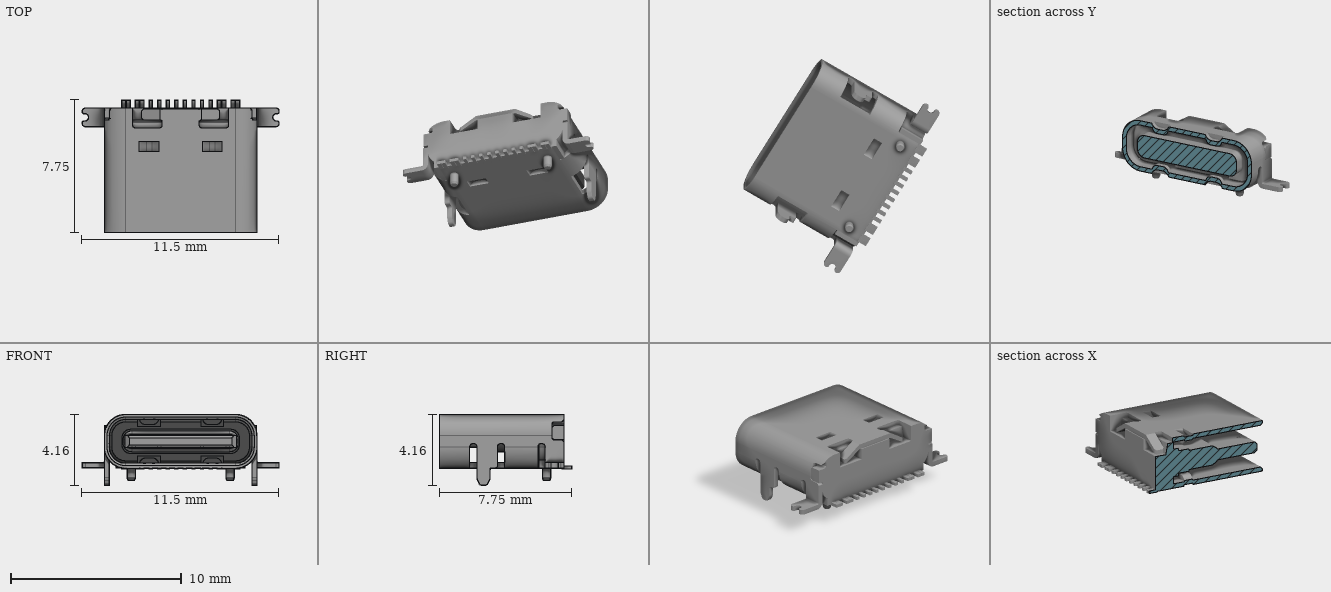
import cadquery as cq


shell_width = 8.94
shell_height = 3.16
shell_length = 7.3
shell_radius = 1.25
sheet = 0.3
mouth_chamfer = 0.14
half_width = shell_width / 2
bore_half_width = half_width - sheet
mid_height = shell_height / 2

housing_front = 5.7
housing_chamfer = 0.14
base_half_width = 3.78
base_front = housing_front + housing_chamfer
base_bottom = 0.03
base_top = 0.48
ear_front = 6.6
ear_bottom = 1.68
ear_top = 2.5
ear_inset = 0.02
ear_half_width = half_width - ear_inset
ear_chamfer = 0.1
ear_clearance_bottom = 0.02
ear_clearance_top = 0.22
ear_flare = 0.13

tongue_half_width = 3.27
tongue_half_thickness = 0.35
tongue_tip = 0.38
tongue_tip_chamfer = 0.15
tongue_corner_x = 0.27
tongue_corner_y = 0.35
ramp_inset = 0.07
ramp_half_height = 0.61
ramp_start = 3.1
ramp_end = 3.4
ramp_rise = 0.2
collar_half_width = 3.44
collar_half_height = 0.71
collar_radius = 0.51
collar_front = 5.0
contact_tip_positions = (1.25, 2.75)
contact_tip_width = 0.2
contact_tip_length = 0.25
contact_tip_depth = 0.05
contact_tip_front = 0.85

spring_center_x = 1.85
spring_window_length = 1.16
spring_front = 4.76
spring_back = 5.32
spring_depth = 0.3
spring_flat_below = 0.4
spring_flat_above = 0.32
spring_foot = 0.02
spring_notch_width = 1.34
spring_notch_height = 0.41
spring_notch_length = 0.35

relief_inner_x = 1.085
relief_outer_x = 2.81
relief_front = 6.13
relief_radius = 0.15
flap_inner_x = 1.21
flap_outer_x = 2.28
flap_front = 6.6
flap_back = 7.23
flap_drop = 0.66
flap_thickness = 0.25
flap_corner = 0.1
flap_pocket_front = 6.47
flap_pocket_floor = 2.2

strip_cut_x = 3.5
slot_rise = 0.2
slot_top = shell_radius + slot_rise
slot_width = 0.42
slot_end_radius = 0.19
leg_front = 2.19
leg_back = 3.4
leg_step_y = 2.97
leg_step_z = 0.03
leg_bottom = -1.0
leg_taper_height = 0.37
leg_tip_front = 2.37
leg_tip_back = 2.77
leg_step_radius = 0.12
leg_tip_radius = 0.2
leg_shoulder_radius = 0.4

wing_half_span = 5.77
wing_front = 6.19
wing_top = 0.33
wing_bend_radius = 0.08
wing_corner = 0.2
wing_notch_radius = 0.21
wing_notch_depth = 0.37
wing_lip_radius = 0.12

post_x = 2.89
post_y = 6.27
post_radius = 0.25
post_bottom = -0.71
post_taper_height = 0.14
post_taper = 0.06

tail_bottom = -0.04
tail_top = 0.15
tail_front = 7.18
tail_back = 7.75
narrow_tail = 0.2
wide_tail = 0.25
narrow_tail_positions = (0.25, 0.75, 1.25, 1.75)
wide_tail_positions = (2.265, 2.535, 3.07, 3.335)

fuse_overlap = 0.05


def block(x0, x1, y0, y1, z0, z1):
    return cq.Workplane("XY").box(x1 - x0, y1 - y0, z1 - z0, centered=False).translate((x0, y0, z0))


def both_sides(solid):
    return solid.union(solid.mirror("YZ"))


def top_and_bottom(solid):
    return solid.union(solid.mirror("XY", (0, 0, mid_height)))


def oblong(half_x, half_z, radius, y0, y1):
    """Rounded rectangular bar along Y, centred on the shell axis."""
    bar = block(-half_x, half_x, y0, y1, mid_height - half_z, mid_height + half_z)
    return bar.edges("|Y").fillet(radius)


def make_shell():
    """Open rounded tube with a bevel around the inside of its mouth."""
    shell = oblong(half_width, mid_height, shell_radius, 0, shell_length)
    bore = oblong(bore_half_width, mid_height - sheet, shell_radius - sheet, 0, shell_length)
    shell = shell.cut(bore)
    mouth_edges = cq.selectors.BoxSelector(
        (-half_width + sheet / 2, -sheet, sheet / 2),
        (half_width - sheet / 2, sheet, shell_height - sheet / 2),
        boundingbox=True,
    )
    return shell.faces("<Y").edges(mouth_edges).chamfer(mouth_chamfer)


def strip_cut(front, back):
    """Opening in the left lower corner of the shell."""
    return block(-half_width - sheet, -strip_cut_x, front, back, -sheet, shell_radius)


def slot(front):
    """Round-topped slot through the left wall."""
    tall = block(-half_width - sheet, -strip_cut_x, front, front + slot_width, -sheet, slot_top)
    return tall.edges("|X and >Z").fillet(slot_end_radius)


def side_openings():
    """Lower-corner openings and slots that free the legs and the wings from the shell."""
    openings = strip_cut(leg_front - slot_width, leg_back + slot_width)
    openings = openings.union(strip_cut(wing_front - slot_width, shell_length))
    for front in (leg_front - slot_width, leg_back, wing_front - slot_width):
        openings = openings.union(slot(front))
    return both_sides(openings)


def ear_openings():
    """Side notches for the housing ears, with bevelled corners and a flared entry at the back."""
    bottom = ear_bottom - ear_clearance_bottom
    top = ear_top + ear_clearance_top
    front = ear_front - ear_clearance_bottom
    opening = (
        cq.Workplane("YZ", origin=(-half_width - sheet, 0, 0))
        .moveTo(front, bottom + ear_chamfer)
        .lineTo(front, top - ear_chamfer)
        .lineTo(front + ear_chamfer, top)
        .lineTo(shell_length - ear_flare, top)
        .lineTo(shell_length, top + ear_flare)
        .lineTo(shell_length, bottom - ear_flare)
        .lineTo(shell_length - ear_flare, bottom)
        .lineTo(front + ear_chamfer, bottom)
        .close()
        .extrude(3 * sheet)
    )
    return both_sides(opening)


def relief_notches():
    """Back notches that free the flaps, and the setback of the top wall between them."""
    cross_cut = block(
        -relief_outer_x,
        -relief_inner_x,
        relief_front,
        flap_front,
        shell_height - sheet - fuse_overlap,
        shell_height + sheet,
    ).edges("|Z").fillet(relief_radius)
    back_cut = block(
        -relief_outer_x,
        -flap_inner_x,
        relief_front + relief_radius,
        shell_length,
        shell_height - sheet - fuse_overlap,
        shell_height + sheet,
    )
    middle_setback = block(
        -flap_inner_x,
        flap_inner_x,
        flap_back,
        shell_length,
        shell_height - sheet,
        shell_height + sheet,
    )
    return both_sides(cross_cut.union(back_cut)).union(middle_setback)


def spring_windows():
    """Four windows in the top and bottom walls where the springs are pressed inward."""
    half = spring_window_length / 2
    window = block(
        -spring_center_x - half,
        -spring_center_x + half,
        spring_front,
        spring_back,
        shell_height - sheet - fuse_overlap,
        shell_height + sheet,
    )
    return top_and_bottom(both_sides(window))


def tangent_radius(run, rise):
    """Radius of the arc that leaves a flat tangentially and climbs `rise` over `run`."""
    return (run**2 + rise**2) / (2 * rise)


def spring():
    """Bowed strip hanging from the left half of the top wall."""
    ceiling = shell_height - sheet
    half = spring_window_length / 2
    foot = half - spring_foot
    end = half + fuse_overlap
    below = spring_flat_below / 2
    above = spring_flat_above / 2
    radius_below = tangent_radius(foot - below, spring_depth)
    radius_above = tangent_radius(half - above, sheet)
    floor = sheet - spring_depth
    return (
        cq.Workplane("XZ", origin=(-spring_center_x, spring_front, ceiling))
        .moveTo(-end, 0)
        .lineTo(-foot, 0)
        .radiusArc((-below, -spring_depth), -radius_below)
        .lineTo(below, -spring_depth)
        .radiusArc((foot, 0), -radius_below)
        .lineTo(end, 0)
        .lineTo(end, sheet)
        .lineTo(half, sheet)
        .radiusArc((above, floor), radius_above)
        .lineTo(-above, floor)
        .radiusArc((-half, sheet), radius_above)
        .lineTo(-end, sheet)
        .close()
        .extrude(spring_front - spring_back)
    )


def flap():
    """Left flap, folded down and outward from the edge of the top wall."""
    leaf = (
        cq.Workplane("XZ", origin=(0, flap_front, 0))
        .moveTo(-flap_inner_x, shell_height)
        .lineTo(-flap_outer_x, shell_height - flap_drop)
        .lineTo(-flap_outer_x, shell_height - flap_drop - flap_thickness)
        .lineTo(-flap_inner_x, shell_height - sheet)
        .close()
        .extrude(flap_front - flap_back)
    )
    return leaf.edges("<X and |Z").chamfer(flap_corner)


def leg():
    """Left through-hole leg, straight down from the side wall."""
    outline = (
        cq.Workplane("YZ", origin=(-half_width, 0, 0))
        .moveTo(leg_front, shell_radius)
        .lineTo(leg_front, leg_bottom + leg_taper_height)
        .lineTo(leg_tip_front, leg_bottom)
        .lineTo(leg_tip_back, leg_bottom)
        .lineTo(leg_step_y, leg_bottom + leg_taper_height)
        .lineTo(leg_step_y, leg_step_z - leg_step_radius)
        .radiusArc((leg_step_y + leg_step_radius, leg_step_z), leg_step_radius)
        .lineTo(leg_back - leg_step_radius, leg_step_z)
        .radiusArc((leg_back, leg_step_z + leg_step_radius), -leg_step_radius)
        .lineTo(leg_back, shell_radius)
        .close()
    )
    plate = outline.extrude(sheet)
    tip_edges = cq.selectors.BoxSelector(
        (-shell_width, 0, leg_bottom - sheet), (0, shell_length, leg_bottom + sheet)
    )
    shoulder_edges = cq.selectors.BoxSelector(
        (-shell_width, 0, leg_bottom + sheet), (0, shell_length, leg_step_z - leg_step_radius - sheet)
    )
    plate = plate.edges("|X").edges(tip_edges).fillet(leg_tip_radius)
    return plate.edges("|X").edges(shoulder_edges).fillet(leg_shoulder_radius)


def wing():
    """Left mounting wing, bent outward from the side wall and notched at its end."""
    bend_outer = wing_bend_radius + sheet
    wall_inner_x = -half_width + sheet
    wing_bottom = wing_top - sheet
    bent = (
        cq.Workplane("XZ", origin=(0, wing_front, 0))
        .moveTo(-half_width, shell_radius)
        .lineTo(-half_width, wing_top + wing_bend_radius)
        .radiusArc((-half_width - wing_bend_radius, wing_top), wing_bend_radius)
        .lineTo(-wing_half_span, wing_top)
        .lineTo(-wing_half_span, wing_bottom)
        .lineTo(wall_inner_x - bend_outer, wing_bottom)
        .radiusArc((wall_inner_x, wing_bottom + bend_outer), -bend_outer)
        .lineTo(wall_inner_x, shell_radius)
        .close()
        .extrude(wing_front - shell_length)
    )
    bent = bent.edges("<X and |Z").fillet(wing_corner)
    wing_middle = (wing_front + shell_length) / 2
    notch_center = -wing_half_span + wing_notch_depth - wing_notch_radius
    notch = (
        cq.Workplane("XY", origin=(notch_center, wing_middle, 0))
        .circle(wing_notch_radius)
        .extrude(shell_radius)
    )
    lip_edges = cq.selectors.BoxSelector(
        (-wing_half_span - sheet, wing_middle - wing_notch_radius, -sheet),
        (notch_center, wing_middle + wing_notch_radius, shell_radius),
    )
    return bent.cut(notch).edges("|Z").edges(lip_edges).fillet(wing_lip_radius)


def make_housing():
    """Plug filling the back of the shell, with a wider base and an ear on each side."""
    plug = oblong(
        bore_half_width, mid_height - sheet, shell_radius - sheet, housing_front, shell_length
    )
    plug = plug.faces("<Y").chamfer(housing_chamfer)
    base = block(
        -base_half_width, base_half_width, base_front, shell_length, base_bottom, base_top
    )
    ear = block(
        -ear_half_width, -bore_half_width + sheet, ear_front, shell_length, ear_bottom, ear_top
    )
    ear = ear.edges("|X and <Y").chamfer(ear_chamfer)
    housing = plug.union(base).union(both_sides(ear))
    return housing.cut(spring_notches()).cut(both_sides(flap_pocket()))


def spring_notches():
    """Pockets in the front face of the housing that give the springs room to flex."""
    ceiling = shell_height - sheet
    notch = block(
        -spring_center_x - spring_notch_width / 2,
        -spring_center_x + spring_notch_width / 2,
        housing_front,
        housing_front + spring_notch_length,
        ceiling - spring_notch_height,
        ceiling,
    )
    return top_and_bottom(both_sides(notch))


def flap_pocket():
    """Left pocket in the housing under the flap, open at the back, with a sloped front wall."""
    ceiling = shell_height - sheet
    return (
        cq.Workplane("YZ", origin=(-relief_outer_x, 0, 0))
        .moveTo(flap_pocket_front, ceiling)
        .lineTo(flap_front, flap_pocket_floor)
        .lineTo(shell_length, flap_pocket_floor)
        .lineTo(shell_length, ceiling)
        .close()
        .extrude(relief_outer_x - relief_inner_x)
    )


def make_blade():
    """Thin front of the tongue: its side profile bounded by a plan with bevelled front corners."""
    back = housing_front + fuse_overlap
    bottom = mid_height - tongue_half_thickness
    top = mid_height + tongue_half_thickness
    chamfer_end = tongue_tip + tongue_tip_chamfer
    profile = (
        cq.Workplane("YZ", origin=(-tongue_half_width, 0, 0))
        .moveTo(back, bottom)
        .lineTo(chamfer_end, bottom)
        .lineTo(tongue_tip, bottom + tongue_tip_chamfer)
        .lineTo(tongue_tip, top - tongue_tip_chamfer)
        .lineTo(chamfer_end, top)
        .lineTo(back, top)
        .close()
        .extrude(2 * tongue_half_width)
    )
    tip_half_width = tongue_half_width - tongue_corner_x
    corner_end = tongue_tip + tongue_corner_y
    plan = (
        cq.Workplane("XY")
        .moveTo(-tongue_half_width, back)
        .lineTo(-tongue_half_width, corner_end)
        .lineTo(-tip_half_width, tongue_tip)
        .lineTo(tip_half_width, tongue_tip)
        .lineTo(tongue_half_width, corner_end)
        .lineTo(tongue_half_width, back)
        .close()
        .extrude(shell_height)
    )
    return profile.intersect(plan)


def make_tongue():
    """Blade with a ramp and a taller collar at its root."""
    back = housing_front + fuse_overlap
    ramp_half_width = collar_half_width - ramp_inset
    ramp = oblong(ramp_half_width, ramp_half_height, collar_radius, ramp_start, back)
    ramp = ramp.faces("<Y").chamfer(ramp_rise, ramp_end - ramp_start)
    collar = oblong(collar_half_width, collar_half_height, collar_radius, collar_front, back)
    return make_blade().union(ramp).union(collar).cut(contact_tips())


def contact_tips():
    """Shallow recesses ahead of the long ground and power contacts."""
    top = mid_height + tongue_half_thickness
    recesses = cq.Workplane("XY")
    for x in contact_tip_positions:
        recesses = recesses.union(block(
            x - contact_tip_width / 2,
            x + contact_tip_width / 2,
            contact_tip_front,
            contact_tip_front + contact_tip_length,
            top - contact_tip_depth,
            top + contact_tip_depth,
        ))
    return top_and_bottom(both_sides(recesses))


def post():
    """Left locating post with a tapered tip."""
    peg = cq.Workplane("XY", origin=(-post_x, post_y, post_bottom)).circle(post_radius)
    peg = peg.extrude(base_top - post_bottom)
    return peg.faces("<Z").chamfer(post_taper_height, post_taper)


def tails():
    """Row of solder tails: narrow signal tails between paired wide tails."""
    row = cq.Workplane("XY")
    for positions, width in (
        (narrow_tail_positions, narrow_tail),
        (wide_tail_positions, wide_tail),
    ):
        for x in positions:
            row = row.union(
                block(x - width / 2, x + width / 2, tail_front, tail_back, tail_bottom, tail_top)
            )
    return both_sides(row)


shell = make_shell().cut(side_openings()).cut(ear_openings())
shell = shell.cut(relief_notches()).cut(spring_windows())
shell = shell.union(both_sides(leg())).union(both_sides(wing()))
shell = shell.union(both_sides(flap())).union(top_and_bottom(both_sides(spring())))

result = shell.union(make_housing()).union(make_tongue())
result = result.union(both_sides(post())).union(tails())